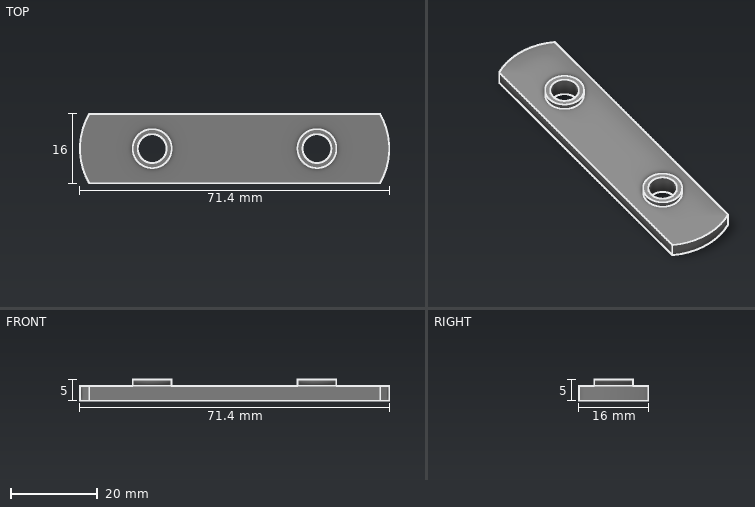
import cadquery as cq
import math

plate_length = 71.4
plate_width = 16.0
plate_thickness = 3.5
end_radius = 16.0

hole_spacing = 38.0
hole_diameter = 6.6
collar_diameter = 9.0
collar_height = 1.5

half_length = plate_length / 2
half_width = plate_width / 2
end_bulge = end_radius - math.sqrt(end_radius**2 - half_width**2)
corner_x = half_length - end_bulge

hole_centers = [(-hole_spacing / 2, 0), (hole_spacing / 2, 0)]


def make_plate():
    """Flat bar with straight sides and arc-shaped ends, resting on Z = 0."""
    return (
        cq.Workplane("XY")
        .moveTo(-corner_x, -half_width)
        .lineTo(corner_x, -half_width)
        .threePointArc((half_length, 0), (corner_x, half_width))
        .lineTo(-corner_x, half_width)
        .threePointArc((-half_length, 0), (-corner_x, -half_width))
        .close()
        .extrude(plate_thickness)
    )


def make_cylinders(diameter, height):
    """One upright cylinder from Z = 0 at each hole center."""
    return cq.Workplane("XY").pushPoints(hole_centers).circle(diameter / 2).extrude(height)


total_height = plate_thickness + collar_height
collars = make_cylinders(collar_diameter, total_height)
holes = make_cylinders(hole_diameter, total_height)

result = make_plate().union(collars).cut(holes)